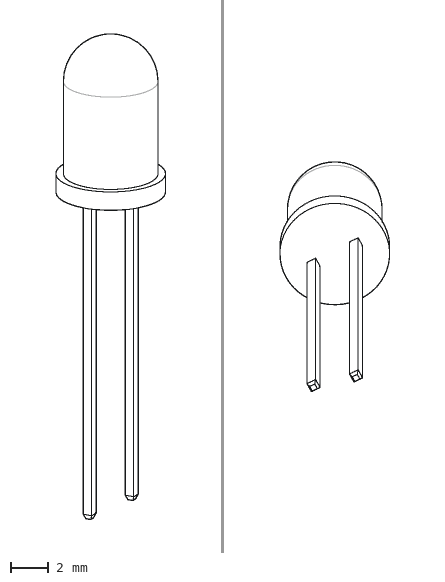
import cadquery as cq
import math

total_height = 27.2

flange_diameter = 5.8
flange_height = 1.03
lens_diameter = 5.0
lens_height = 8.7
lens_radius = lens_diameter / 2
dome_base_z = lens_height - lens_radius

lead_width = 0.52
lead_spacing = 2.53
long_lead_length = total_height - lens_height
lead_length_difference = 1.5
short_lead_length = long_lead_length - lead_length_difference
tip_height = 0.27
tip_inset = 0.1
tip_width = lead_width - 2 * tip_inset


def make_lens():
    """Revolve the half profile of the flange, cylinder and dome about Z."""
    flange_radius = flange_diameter / 2
    diagonal = lens_radius * math.sqrt(0.5)
    return (
        cq.Workplane("XZ")
        .moveTo(0, 0)
        .lineTo(flange_radius, 0)
        .lineTo(flange_radius, flange_height)
        .lineTo(lens_radius, flange_height)
        .lineTo(lens_radius, dome_base_z)
        .threePointArc((diagonal, dome_base_z + diagonal), (0, lens_height))
        .close()
        .revolve(360, (0, 0, 0), (0, 1, 0))
    )


def make_lead(x, length):
    """Square lead hanging from the flange base, narrowing to a blunt tip."""
    shank_length = length - tip_height
    shank = cq.Workplane("XY").center(x, 0).rect(lead_width, lead_width).extrude(-shank_length)
    tip = (
        cq.Workplane("XY", origin=(x, 0, -length))
        .rect(tip_width, tip_width)
        .workplane(offset=tip_height)
        .rect(lead_width, lead_width)
        .loft(ruled=True)
    )
    return shank.union(tip)


lens = make_lens()

lead_places = [
    (-lead_spacing / 2, long_lead_length),
    (lead_spacing / 2, short_lead_length),
]
leads = [make_lead(x, length) for x, length in lead_places]

result = cq.Compound.makeCompound([lens.val(), *[lead.val() for lead in leads]])